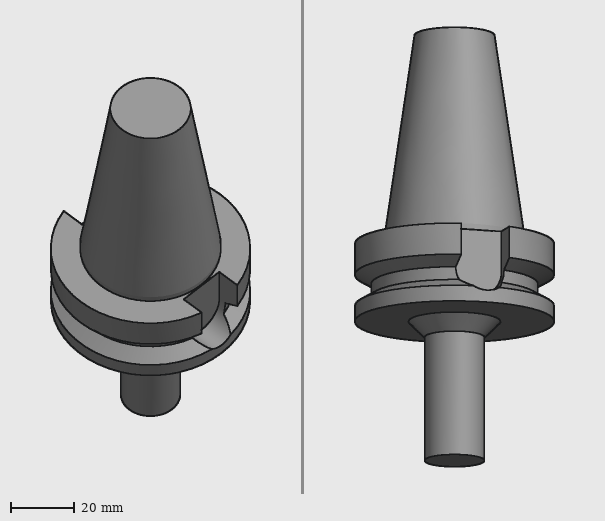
import cadquery as cq
import math

total_length = 137.4
shank_projection = 44.9
flange_height = 25.1
neck_height = 1.9

shank_diameter = 19.0
flange_diameter = 63.0
groove_diameter = 52.8
gauge_diameter = 44.5

taper_rate = 7 / 24

upper_rim_height = 10.0
groove_floor_height = 4.1
groove_flank_angle = 30.0

collar_height = 5.1

keyway_width = 16.1
keyway_depth = 21.3
keyway_floor_spacing = 45.0

shank_radius = shank_diameter / 2
flange_radius = flange_diameter / 2
groove_radius = groove_diameter / 2
gauge_radius = gauge_diameter / 2
collar_radius = shank_radius + collar_height
flank_height = (flange_radius - groove_radius) * math.tan(math.radians(groove_flank_angle))

flange_bottom = shank_projection
flange_top = flange_bottom + flange_height
groove_top = flange_top - upper_rim_height
floor_top = groove_top - flank_height
floor_bottom = floor_top - groove_floor_height
groove_bottom = floor_bottom - flank_height
gauge_level = flange_top + neck_height
tip_radius = gauge_radius - (total_length - gauge_level) * taper_rate / 2


def turned_body():
    """Revolve the half profile of shank, collar, grooved flange and taper."""
    profile = [
        (0, 0),
        (shank_radius, 0),
        (shank_radius, flange_bottom - collar_height),
        (collar_radius, flange_bottom),
        (flange_radius, flange_bottom),
        (flange_radius, groove_bottom),
        (groove_radius, floor_bottom),
        (groove_radius, floor_top),
        (flange_radius, groove_top),
        (flange_radius, flange_top),
        (gauge_radius, flange_top),
        (gauge_radius, gauge_level),
        (tip_radius, total_length),
        (0, total_length),
    ]
    return cq.Workplane("XZ").polyline(profile).close().revolve(360, (0, 0, 0), (0, 1, 0))


def keyway_cutter(side):
    """Round-bottomed slot, open at the flange top; side is +1 or -1 along X."""
    half_width = keyway_width / 2
    slot_bottom = flange_top - keyway_depth
    return (
        cq.Workplane("YZ", origin=(side * keyway_floor_spacing / 2, 0, 0))
        .moveTo(-half_width, flange_top)
        .lineTo(-half_width, slot_bottom + half_width)
        .threePointArc((0, slot_bottom), (half_width, slot_bottom + half_width))
        .lineTo(half_width, flange_top)
        .close()
        .extrude(side * flange_radius)
    )


result = turned_body()
for side in (-1, 1):
    result = result.cut(keyway_cutter(side))